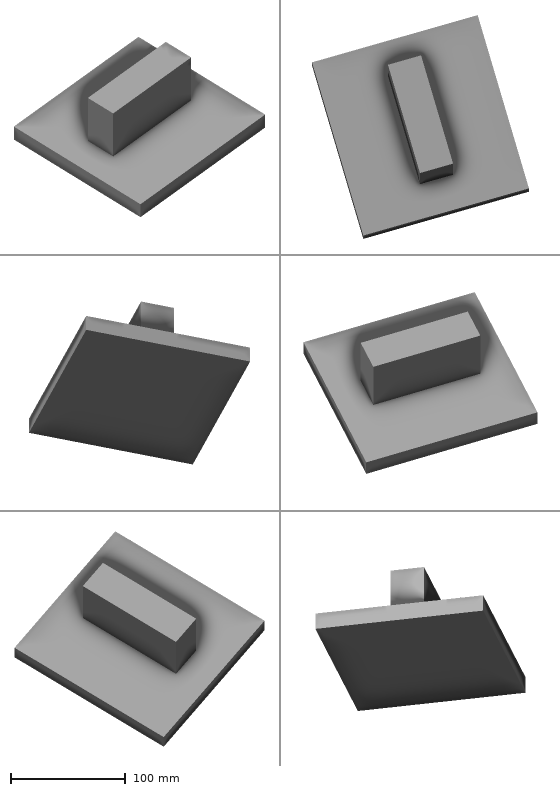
import cadquery as cq

plate_width = 150.0
plate_length = 160.0
plate_thickness = 15.0

block_width = plate_width / 5
block_length = 100.0
total_height = 65.0
block_height = total_height - plate_thickness

plate = cq.Workplane("XY").box(
    plate_width, plate_length, plate_thickness, centered=(True, True, False)
)

result = (
    plate.faces(">Z")
    .workplane()
    .rect(block_width, block_length)
    .extrude(block_height)
)